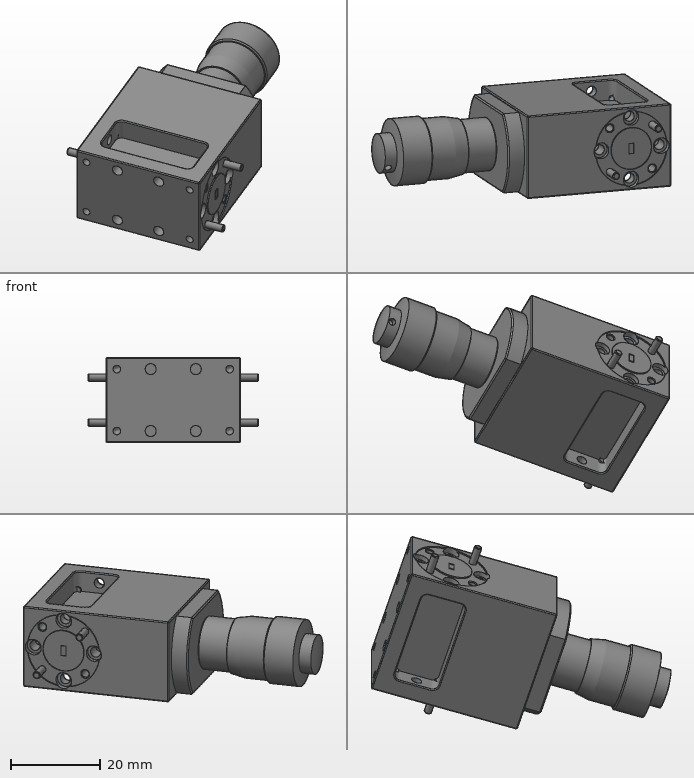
import cadquery as cq
import math


overall_length = 64.9
overall_width = 38.2

housing_width = 30.25
housing_length = 34.3
housing_height = 19.1
housing_chamfer = 0.25
half_width = housing_width / 2
half_height = housing_height / 2

pocket_width = 22.4
pocket_front = 3.95
pocket_back = 14.3
pocket_depth = 4.8
pocket_corner_radius = 1.5
pocket_chamfer = 0.25

flange_y = 9.5
flange_radius = 8.5
boss_radius = 4.8
recess_depth = 0.3
bolt_circle_radius = 7.15
screw_radius = 1.2
counterbore_radius = 1.8
counterbore_depth = 1.4
tapped_hole_depth = 5.2
waveguide_width = 1.2
waveguide_height = 2.35
waveguide_depth = 0.2

pin_radius = 0.85
pin_reach = overall_width / 2
pin_insert_depth = 4.4
pin_chamfer = 0.2
socket_radius = 0.85
socket_depth = 4.15
socket_chamfer = 0.2
pin_offset = bolt_circle_radius / math.sqrt(2)

mount_z = 6.95
outer_mount_x = 12.65
outer_mount_radius = 0.85
outer_mount_depth = 5.2
inner_mount_x = 5.05
inner_mount_radius = 1.25
inner_mount_depth = 2.6

drill_tip_slope = math.tan(math.radians(31))

plate_radius = 13.25
plate_height = 18.3
plate_back = 38.2
plate_chamfer = 0.3

sleeve_radius = 6.05
sleeve_chamfer = 0.25
thimble_radius = 7.0
thimble_nose_radius = 6.35
collar_radius = 7.6
knob_radius = 4.5
thimble_nose_y = 45.1
thimble_taper_end_y = 48.4
collar_front_y = 54.05
collar_chamfer = 0.3
collar_rim_y = 61.1
collar_dome_height = 0.65
knob_rim_y = 64.4
knob_dome_height = overall_length - knob_rim_y
wrench_hole_radius = 0.8
wrench_hole_depth = 1.95
wrench_hole_y = 63.4
wrench_hole_angle = 215.0


def drill(start, direction, radius, depth):
    """Blind drilled hole with a conical tip; depth is that of the straight wall."""
    origin = cq.Vector(*start)
    axis = cq.Vector(*direction)
    wall = cq.Solid.makeCylinder(radius, depth, origin, axis)
    tip = cq.Solid.makeCone(radius, 0, radius * drill_tip_slope, origin + axis * depth, axis)
    return cq.Workplane(obj=wall).union(cq.Workplane(obj=tip))


def cylinder(start, direction, radius, depth):
    """Straight cylinder from its start point along a direction."""
    return cq.Workplane(obj=cq.Solid.makeCylinder(radius, depth, cq.Vector(*start), cq.Vector(*direction)))


def make_block():
    """Rectangular block with every edge chamfered."""
    block = cq.Workplane("XY").box(housing_width, housing_length, housing_height)
    return block.translate((0, housing_length / 2, 0)).edges().chamfer(housing_chamfer)


def make_plate():
    """Disc with flats on top and bottom, behind the block."""
    start = (0, housing_length, 0)
    thickness = plate_back - housing_length
    disc = cylinder(start, (0, 1, 0), plate_radius, thickness)
    flats = cq.Workplane("XY").box(2 * plate_radius, 2 * plate_back, plate_height)
    return disc.intersect(flats).faces(">Y").chamfer(plate_chamfer)


def dome_sphere_radius(rim_radius, height):
    """Radius of the sphere whose cap has this rim radius and height."""
    return (rim_radius**2 + height**2) / (2 * height)


def make_micrometer():
    """Sleeve, thimble, knurled collar and ratchet knob, turned about the Y axis."""
    collar_sphere = dome_sphere_radius(collar_radius, collar_dome_height)
    knob_sphere = dome_sphere_radius(knob_radius, knob_dome_height)
    collar_sphere_y = collar_rim_y + collar_dome_height - collar_sphere
    collar_face_y = collar_sphere_y + math.sqrt(collar_sphere**2 - knob_radius**2)
    profile = (
        cq.Workplane("XY")
        .moveTo(0, plate_back)
        .lineTo(sleeve_radius - sleeve_chamfer, plate_back)
        .lineTo(sleeve_radius, plate_back + sleeve_chamfer)
        .lineTo(sleeve_radius, thimble_nose_y)
        .lineTo(thimble_nose_radius, thimble_nose_y)
        .lineTo(thimble_radius, thimble_taper_end_y)
        .lineTo(thimble_radius, collar_front_y)
        .lineTo(collar_radius - collar_chamfer, collar_front_y)
        .lineTo(collar_radius, collar_front_y + collar_chamfer)
        .lineTo(collar_radius, collar_rim_y)
        .radiusArc((knob_radius, collar_face_y), -collar_sphere)
        .lineTo(knob_radius, knob_rim_y)
        .radiusArc((0, overall_length), -knob_sphere)
        .close()
    )
    micrometer = profile.revolve(360, (0, 0, 0), (0, 1, 0))
    angle = math.radians(wrench_hole_angle)
    outward = cq.Vector(math.cos(angle), 0, math.sin(angle))
    rim_point = outward * knob_radius + cq.Vector(0, wrench_hole_y, 0)
    wrench_hole = drill(rim_point.toTuple(), (-outward).toTuple(), wrench_hole_radius, wrench_hole_depth)
    return micrometer.cut(wrench_hole)


def make_pocket():
    """Rounded volume of the top pocket, with a chamfer around its rim."""
    length = pocket_back - pocket_front
    center_y = (pocket_front + pocket_back) / 2
    rim_width = pocket_width + 2 * pocket_chamfer
    rim_length = length + 2 * pocket_chamfer
    rim_radius = pocket_corner_radius + pocket_chamfer
    top = cq.Workplane("XY", origin=(0, center_y, half_height))
    walls = top.rect(pocket_width, length).extrude(-pocket_depth).edges("|Z").fillet(pocket_corner_radius)
    rim_outline = cq.Sketch().rect(rim_width, rim_length).vertices().fillet(rim_radius)
    rim = top.placeSketch(rim_outline).extrude(-pocket_chamfer, taper=45)
    return walls.union(rim)


def make_flange_cuts(side):
    """Recessed ring, waveguide opening and screw holes of one X side (-1 or +1)."""
    face_x = side * half_width
    inward = (-side, 0, 0)
    center = (face_x, flange_y, 0)

    ring = cylinder(center, inward, flange_radius, recess_depth)
    ring = ring.cut(cylinder(center, inward, boss_radius, recess_depth))

    waveguide = cq.Workplane("XY").box(2 * waveguide_depth, waveguide_width, waveguide_height)
    cuts = ring.union(waveguide.translate(center))

    for sign in (-1, 1):
        clearance_start = (face_x, flange_y, sign * bolt_circle_radius)
        tapped_start = (face_x, flange_y + sign * bolt_circle_radius, 0)
        cuts = cuts.union(cylinder(clearance_start, inward, screw_radius, half_width))
        cuts = cuts.union(drill(tapped_start, inward, screw_radius, tapped_hole_depth))
        for start in (clearance_start, tapped_start):
            cuts = cuts.union(cylinder(start, inward, counterbore_radius, counterbore_depth))
    return cuts


def dowel_positions(side):
    """(Y, Z) of the two pins on one X side; the two sides are half a turn about Z apart."""
    return [(flange_y + side * sign * pin_offset, sign * pin_offset) for sign in (-1, 1)]


def make_dowel_holes(side):
    """Fitted holes for the pins of one X side and chamfered sockets for the mating pins."""
    face_x = side * half_width
    inward = (-side, 0, 0)
    holes = cq.Workplane("XY")
    for y, z in dowel_positions(side):
        holes = holes.add(cylinder((face_x, y, z), inward, pin_radius, pin_insert_depth))
    for y, z in dowel_positions(-side):
        mouth_radius = socket_radius + socket_chamfer
        mouth_start = cq.Vector(face_x - side * recess_depth, y, z)
        mouth = cq.Solid.makeCone(
            mouth_radius, socket_radius, socket_chamfer, mouth_start, cq.Vector(*inward)
        )
        holes = holes.add(drill((face_x, y, z), inward, socket_radius, socket_depth))
        holes = holes.add(cq.Workplane(obj=mouth))
    return holes.combine()


def make_mounting_holes():
    """Four small drilled holes at the corners and four flat-bottomed holes between them."""
    holes = cq.Workplane("XY")
    inward = (0, 1, 0)
    for x_sign in (-1, 1):
        for z in (-mount_z, mount_z):
            outer_start = (x_sign * outer_mount_x, 0, z)
            inner_start = (x_sign * inner_mount_x, 0, z)
            holes = holes.add(drill(outer_start, inward, outer_mount_radius, outer_mount_depth))
            holes = holes.add(cylinder(inner_start, inward, inner_mount_radius, inner_mount_depth))
    return holes.combine()


def make_housing():
    """Block with its plate and micrometer, and all pockets and holes cut."""
    housing = make_block().union(make_plate()).union(make_micrometer())
    pocket = make_pocket()
    housing = housing.cut(pocket).cut(pocket.mirror("XY"))
    for side in (-1, 1):
        housing = housing.cut(make_flange_cuts(side)).cut(make_dowel_holes(side))
    return housing.cut(make_mounting_holes())


def make_pin(side, y, z):
    """Dowel pin seated in its hole, with its outer end chamfered."""
    inner_end = half_width - pin_insert_depth
    pin = cylinder((side * inner_end, y, z), (side, 0, 0), pin_radius, pin_reach - inner_end)
    return pin.faces(">X" if side > 0 else "<X").chamfer(pin_chamfer)


housing = make_housing()
pins = [make_pin(side, y, z).val() for side in (-1, 1) for y, z in dowel_positions(side)]
result = cq.Compound.makeCompound([housing.solids().val(), *pins])